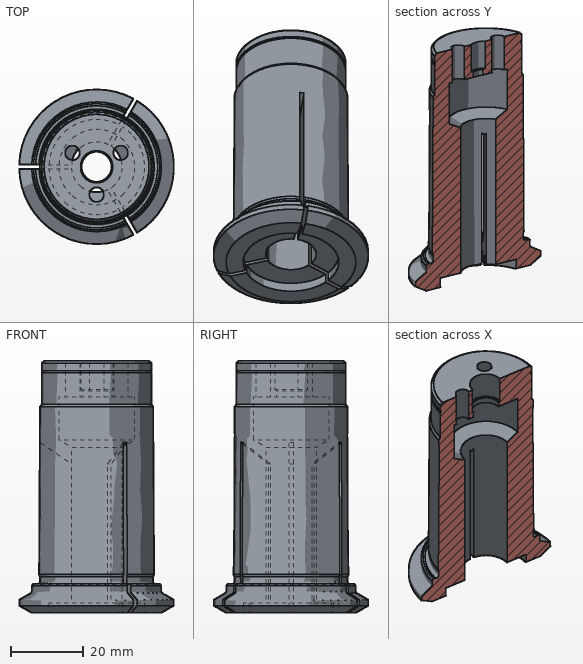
import cadquery as cq
import math

total_length = 70.0

flange_radius = 43.0 / 2
flange_face_radius = 36.0 / 2
flange_slope = math.radians(30)
flange_rim_fillet = 0.25
collar_foot = 5.65
collar_foot_fillet = 0.5
collar_top = 8.1
collar_chamfer = 0.5

neck_radius = 31.5 / 2
undercut_radius = 0.75
undercut_centre_z = 8.7
neck_top = 10.1
body_bottom = 10.3
body_bottom_radius = 32.0 / 2
body_chamfer_height = 0.45
body_chamfer_width = 0.15
body_top = 57.15
body_top_radius = 31.5 / 2
shoulder_height = 0.7

head_radius = 30.5 / 2
head_chamfer = 0.7
groove_top = 67.2
groove_height = 0.6
groove_depth = 0.25

counterbore_radius = 26.5 / 2
counterbore_depth = 2.75
bore_radius = 14.0 / 2
bore_top = 46.0
bore_lead_radius = 15.2 / 2
bore_lead_height = 0.4
cavity_floor_slope = math.radians(30)
cavity_radius = 21.0 / 2
cavity_top = 60.0
centre_hole_radius = 8.92 / 2
centre_hole_depth = 8.0
centre_hole_end_radius = 8.3 / 2

coolant_hole_diameter = 4.0
coolant_hole_circle_radius = 7.75
coolant_hole_angles = (30, 150, 270)

slot_width = 1.15
slot_outer_top = 47.5
slot_inner_top = 41.4
slot_angles = (60, 180, 300)

overcut = 1.0


def make_outer_body():
    flange_rise = (flange_radius - flange_face_radius) * math.tan(flange_slope)
    rim_corner_z = collar_foot - flange_rise

    tangent_factor = math.tan((math.pi / 2 - flange_slope) / 2)
    rim_tangent = flange_rim_fillet * tangent_factor
    foot_tangent = collar_foot_fillet * tangent_factor
    slope_run = math.cos(flange_slope)
    slope_rise = math.sin(flange_slope)

    undercut_centre_radius = neck_radius + undercut_radius
    undercut_half_chord = math.sqrt(undercut_radius**2 - (undercut_centre_z - collar_top) ** 2)
    undercut_outer_radius = undercut_centre_radius + undercut_half_chord

    return (
        cq.Workplane("XZ")
        .lineTo(flange_face_radius, 0)
        .lineTo(flange_radius, flange_rise)
        .lineTo(flange_radius, rim_corner_z - rim_tangent)
        .tangentArcPoint(
            (flange_radius - rim_tangent * slope_run, rim_corner_z + rim_tangent * slope_rise),
            relative=False,
        )
        .lineTo(flange_face_radius + foot_tangent * slope_run, collar_foot - foot_tangent * slope_rise)
        .tangentArcPoint((flange_face_radius, collar_foot + foot_tangent), relative=False)
        .lineTo(flange_face_radius, collar_top - collar_chamfer)
        .lineTo(flange_face_radius - collar_chamfer, collar_top)
        .lineTo(undercut_outer_radius, collar_top)
        .threePointArc(
            (undercut_centre_radius, undercut_centre_z - undercut_radius),
            (neck_radius, undercut_centre_z),
        )
        .lineTo(neck_radius, neck_top)
        .lineTo(body_bottom_radius - body_chamfer_width, body_bottom)
        .lineTo(body_bottom_radius, body_bottom + body_chamfer_height)
        .lineTo(body_top_radius, body_top)
        .lineTo(head_radius, body_top + shoulder_height)
        .lineTo(head_radius, groove_top - groove_height)
        .lineTo(head_radius - groove_depth, groove_top)
        .lineTo(head_radius, groove_top)
        .lineTo(head_radius, total_length - head_chamfer)
        .lineTo(head_radius - head_chamfer, total_length)
        .lineTo(0, total_length)
        .close()
        .revolve(360, (0, 0), (0, 1))
    )


def make_interior():
    cavity_floor = bore_top + bore_lead_height
    cavity_bottom = cavity_floor + (cavity_radius - bore_lead_radius) * math.tan(cavity_floor_slope)
    hole_step_top = total_length - centre_hole_depth
    hole_step_bottom = hole_step_top - (centre_hole_radius - centre_hole_end_radius)
    profile = [
        (0, 0),
        (counterbore_radius, 0),
        (counterbore_radius, counterbore_depth),
        (bore_radius, counterbore_depth),
        (bore_radius, bore_top),
        (bore_lead_radius, cavity_floor),
        (cavity_radius, cavity_bottom),
        (cavity_radius, cavity_top),
        (centre_hole_end_radius, cavity_top),
        (centre_hole_end_radius, hole_step_bottom),
        (centre_hole_radius, hole_step_top),
        (centre_hole_radius, total_length),
        (0, total_length),
    ]
    return cq.Workplane("XZ").polyline(profile).close().revolve(360, (0, 0), (0, 1))


def make_coolant_hole(angle):
    return (
        cq.Workplane("XY", origin=(0, 0, cavity_top - overcut))
        .center(coolant_hole_circle_radius, 0)
        .circle(coolant_hole_diameter / 2)
        .extrude(total_length - cavity_top + 2 * overcut)
        .rotate((0, 0, 0), (0, 0, 1), angle)
    )


def make_slot(angle):
    end_slope = (slot_outer_top - slot_inner_top) / (body_bottom_radius - bore_radius)
    inner_radius = bore_radius - overcut
    outer_radius = flange_radius + overcut
    outline = [
        (inner_radius, -overcut),
        (outer_radius, -overcut),
        (outer_radius, slot_outer_top + end_slope * (outer_radius - body_bottom_radius)),
        (inner_radius, slot_inner_top - end_slope * overcut),
    ]
    return (
        cq.Workplane("XZ")
        .polyline(outline)
        .close()
        .extrude(slot_width / 2, both=True)
        .rotate((0, 0, 0), (0, 0, 1), angle)
    )


result = make_outer_body().cut(make_interior())
for hole_angle in coolant_hole_angles:
    result = result.cut(make_coolant_hole(hole_angle))
for slot_angle in slot_angles:
    result = result.cut(make_slot(slot_angle))